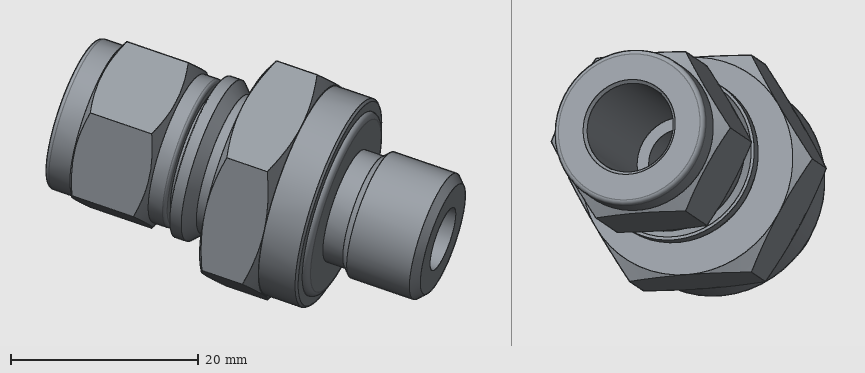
import cadquery as cq
import math

length = 42.6
nut_front_radius = 17.0 / 2
nut_collar_radius = 16.8 / 2
neck_radius = 14.27 / 2
flange_radius = 18.25 / 2
shoulder_radius = 15.75 / 2
flange_recess_radius = 8.78
undercut_radius = 13.05 / 2
seal_body_radius = 23.6 / 2
seal_lip_radius = 20.9 / 2
relief_radius = 12.7 / 2
thread_radius = 14.27 / 2
thread_end_radius = 12.5 / 2

nut_hex_start = 2.95
nut_hex_end = 11.97
nut_end = 14.0
flange_start = 14.8
neck_taper_start = 15.25
flange_rim_end = 16.1
body_hex_start = 19.4
body_hex_end = 26.2
seal_body_end = 30.7
seal_lip_end = 31.35
relief_end = 33.65

nut_front_fillet = 0.5
nut_rear_fillet = 0.4
shoulder_chamfer = 0.35
seal_body_chamfer = 0.25
seal_lip_fillet = seal_lip_end - seal_body_end

nut_hex_flats = 17.5
body_hex_flats = 23.8
hex_chamfer_slope = math.tan(math.radians(30))

socket_radius = 9.7 / 2
socket_depth = 17.05
socket_chamfer = 0.35
bore_radius = 7.1 / 2


def revolve_about_x(profile):
    """Revolve a closed XY profile about the X axis."""
    return profile.close().revolve(360, (0, 0, 0), (1, 0, 0))


def cylinder(start, end, radius):
    return cq.Workplane("YZ").workplane(offset=start).circle(radius).extrude(end - start)


def chamfered_hex(start, end, flats, start_radius, end_radius):
    """Hexagonal prism whose corners are trimmed by a cone at each end."""
    corner_radius = flats / math.sqrt(3)
    prism = (
        cq.Workplane("YZ")
        .workplane(offset=start)
        .polygon(6, 2 * corner_radius)
        .extrude(end - start)
    )
    envelope = revolve_about_x(
        cq.Workplane("XY")
        .moveTo(start, 0)
        .lineTo(start, start_radius)
        .lineTo(start + (corner_radius - start_radius) * hex_chamfer_slope, corner_radius)
        .lineTo(end - (corner_radius - end_radius) * hex_chamfer_slope, corner_radius)
        .lineTo(end, end_radius)
        .lineTo(end, 0)
    )
    return prism.intersect(envelope)


def make_nut():
    front = cylinder(0, nut_hex_start, nut_front_radius)
    front = front.faces("<X").edges().fillet(nut_front_fillet)
    hexagon = chamfered_hex(
        nut_hex_start, nut_hex_end, nut_hex_flats, nut_front_radius, nut_collar_radius
    )
    collar = cylinder(nut_hex_end, nut_end, nut_collar_radius)
    collar = collar.faces(">X").edges().fillet(nut_rear_fillet)
    return front.union(hexagon).union(collar)


def make_flange():
    """Undercut neck and shoulder joined by a flange with parallel 45 degree front recess and back."""
    neck_taper_end = neck_taper_start + neck_radius - undercut_radius
    flange_recess_end = flange_start + flange_recess_radius - undercut_radius
    flange_cone_end = flange_rim_end + flange_radius - shoulder_radius
    return revolve_about_x(
        cq.Workplane("XY")
        .moveTo(nut_end, 0)
        .lineTo(nut_end, neck_radius)
        .lineTo(neck_taper_start, neck_radius)
        .lineTo(neck_taper_end, undercut_radius)
        .lineTo(flange_recess_end, undercut_radius)
        .lineTo(flange_start, flange_recess_radius)
        .lineTo(flange_start, flange_radius)
        .lineTo(flange_rim_end, flange_radius)
        .lineTo(flange_cone_end, shoulder_radius)
        .lineTo(body_hex_start - shoulder_chamfer, shoulder_radius)
        .lineTo(body_hex_start, shoulder_radius - shoulder_chamfer)
        .lineTo(body_hex_start, 0)
    )


def make_seal_body():
    body = cylinder(body_hex_end, seal_body_end, seal_body_radius)
    body = body.faces(">X").edges().chamfer(seal_body_chamfer)
    arc_offset = seal_lip_fillet * math.sqrt(0.5)
    lip = revolve_about_x(
        cq.Workplane("XY")
        .moveTo(seal_body_end, 0)
        .lineTo(seal_body_end, seal_lip_radius)
        .threePointArc(
            (seal_body_end + arc_offset, seal_lip_radius - seal_lip_fillet + arc_offset),
            (seal_lip_end, seal_lip_radius - seal_lip_fillet),
        )
        .lineTo(seal_lip_end, 0)
    )
    return body.union(lip)


def make_threaded_end():
    """Relief groove and plain thread cylinder with 45 degree chamfers."""
    thread_start = relief_end + thread_radius - relief_radius
    thread_end = length - (thread_radius - thread_end_radius)
    return revolve_about_x(
        cq.Workplane("XY")
        .moveTo(seal_lip_end, 0)
        .lineTo(seal_lip_end, relief_radius)
        .lineTo(relief_end, relief_radius)
        .lineTo(thread_start, thread_radius)
        .lineTo(thread_end, thread_radius)
        .lineTo(length, thread_end_radius)
        .lineTo(length, 0)
    )


def make_bore():
    """Stepped through bore with a chamfered tube socket at the nut end."""
    return revolve_about_x(
        cq.Workplane("XY")
        .lineTo(0, socket_radius + socket_chamfer)
        .lineTo(socket_chamfer, socket_radius)
        .lineTo(socket_depth, socket_radius)
        .lineTo(socket_depth, bore_radius)
        .lineTo(length, bore_radius)
        .lineTo(length, 0)
    )


body_hexagon = chamfered_hex(
    body_hex_start, body_hex_end, body_hex_flats, body_hex_flats / 2, body_hex_flats / 2
)
result = (
    make_nut()
    .union(make_flange())
    .union(body_hexagon)
    .union(make_seal_body())
    .union(make_threaded_end())
    .cut(make_bore())
)